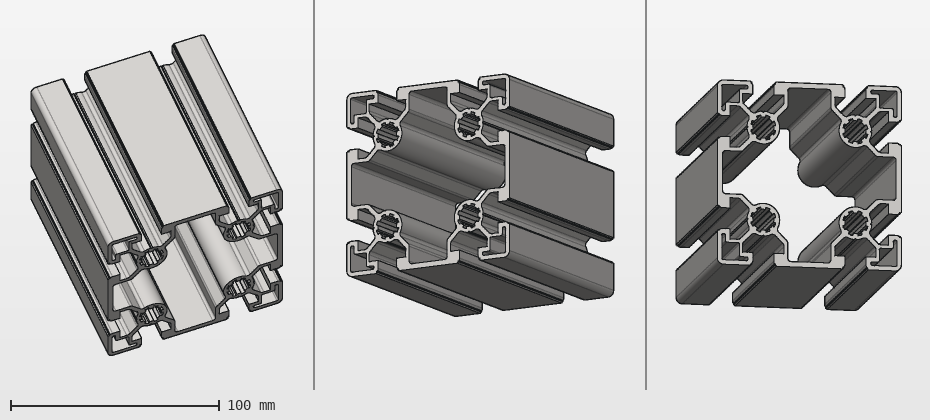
import cadquery as cq
import math

length = 100.0
side = 90.0
half_side = side / 2
bore_offset = side / 4
corner_radius = 3.0

mouth_half_width = 5.1
inner_half_width = 10.1
lip_depth = 6.3
slot_bend_fillet = 2.5

mouth_round_top = (1.2, 0.0)
mouth_notch_top = (0.5, 0.6)
mouth_notch_root = (0.9, 0.9)
mouth_notch_bottom = (0.4, 1.2)
mouth_round_bottom = (0.0, 2.4)
mouth_round_bulge = 0.1

boss_radius = 8.0
bore_root_radius = 6.2
bore_tip_radius = 5.1
rib_count = 8
rib_tip_angle = 23.0
rib_root_angle = 26.0
boss_groove_half_width = 0.6
boss_groove_depth = 0.5

web_half_thickness = 1.2
web_fillet = 1.9

skin = 2.6
hollow_half_width = 10.5
hollow_fillet = 1.5
hollow_bend_fillet = 2.0

cell_wall = 2.2
cell_leg_width = 1.8
cell_leg_end = 15.0
cell_body = 10.8
cell_fillet = 0.7
cell_tip_radius = 0.49 * cell_leg_width

fillet_centre_radius = boss_radius + web_fillet
fillet_angle = math.asin((web_half_thickness + web_fillet) / fillet_centre_radius)
web_shift = web_half_thickness * math.sqrt(2)


def polar(radius, angle):
    return radius * math.cos(angle), radius * math.sin(angle)


def offset(point, dx, dy):
    return point[0] + dx, point[1] + dy


def quarter_turns(point, turns):
    """Turn a point about the profile centre by a number of right angles."""
    for _ in range(turns):
        point = -point[1], point[0]
    return point


def boss_fillet(web_angle, turn):
    """Boss point, middle and web point of a fillet; turn is +1 or -1 from the web."""
    centre_angle = web_angle + turn * fillet_angle
    centre = polar(fillet_centre_radius, centre_angle)
    to_boss = centre_angle + turn * math.pi
    to_web = web_angle + turn * 3 * math.pi / 2
    directions = (to_boss, (to_boss + to_web) / 2, to_web)
    return [offset(polar(web_fillet, a), *centre) for a in directions]


def round_edge(solid, y, z, radius):
    """Fillet the lengthwise edge at the given place in the cross-section."""
    return solid.edges(cq.NearestToPointSelector((0, y, z))).fillet(radius)


def prism(outline):
    return outline.close().extrude(length)


def profile_plane():
    return cq.Workplane("YZ", origin=(-length / 2, 0, 0))


def bore_plane():
    return profile_plane().center(bore_offset, bore_offset)


def slot():
    """T-slot opening towards +Z above the bore of the +Y +Z corner."""
    top = half_side - bore_offset
    boss_point, fillet_middle, web_point = boss_fillet(math.pi / 4, 1)
    groove_edge = (
        boss_groove_half_width,
        math.sqrt(boss_radius**2 - boss_groove_half_width**2),
    )
    boss_start = math.atan2(groove_edge[1], groove_edge[0])
    boss_end = math.atan2(boss_point[1], boss_point[0])
    boss_middle = polar(boss_radius, (boss_start + boss_end) / 2)
    wall_foot = (inner_half_width, inner_half_width + web_shift)
    lip_inner = (inner_half_width, top - lip_depth)
    lip_tip = (mouth_half_width, top - lip_depth)
    round_top, notch_top, notch_root, notch_bottom, round_bottom = [
        (mouth_half_width + back, top - depth)
        for back, depth in (
            mouth_round_top,
            mouth_notch_top,
            mouth_notch_root,
            mouth_notch_bottom,
            mouth_round_bottom,
        )
    ]

    outline = bore_plane().moveTo(0, boss_radius - boss_groove_depth).lineTo(*groove_edge)
    outline = outline.threePointArc(boss_middle, boss_point).threePointArc(fillet_middle, web_point)
    for point in (wall_foot, lip_inner, lip_tip, round_bottom):
        outline = outline.lineTo(*point)
    outline = outline.tangentArcPoint(notch_bottom, relative=False)
    outline = outline.lineTo(*notch_root).lineTo(*notch_top)
    outline = outline.sagittaArc(round_top, -mouth_round_bulge)
    half = prism(outline.lineTo(0, top))
    half = round_edge(half, *offset(wall_foot, bore_offset, bore_offset), slot_bend_fillet)
    return half.union(half.mirror("XZ", (0, bore_offset, 0)))


def bore():
    """Round hole with evenly spaced ribs standing inwards."""
    pitch = 2 * math.pi / rib_count
    half_tip = math.radians(rib_tip_angle) / 2
    half_root = math.radians(rib_root_angle) / 2
    outline = bore_plane().moveTo(*polar(bore_tip_radius, -half_tip))
    for rib in range(rib_count):
        middle = rib * pitch
        if rib > 0:
            outline = outline.lineTo(*polar(bore_tip_radius, middle - half_tip))
        outline = outline.threePointArc(
            polar(bore_tip_radius, middle), polar(bore_tip_radius, middle + half_tip)
        )
        outline = outline.lineTo(*polar(bore_root_radius, middle + half_root))
        outline = outline.threePointArc(
            polar(bore_root_radius, middle + pitch / 2),
            polar(bore_root_radius, middle + pitch - half_root),
        )
    return prism(outline)


def corner_cell():
    """Hollow in the +Y +Z corner: a square with a narrow leg along each outer wall."""
    body_size = cell_body - cell_wall
    leg_size = cell_leg_end - cell_wall
    body_middle = half_side - cell_wall - body_size / 2
    leg_middle = half_side - cell_wall - leg_size / 2
    leg_line = half_side - cell_wall - cell_leg_width / 2
    body = profile_plane().center(body_middle, body_middle).rect(body_size, body_size).extrude(length)
    leg_y = profile_plane().center(leg_middle, leg_line).rect(leg_size, cell_leg_width).extrude(length)
    leg_z = profile_plane().center(leg_line, leg_middle).rect(cell_leg_width, leg_size).extrude(length)
    leg_y = leg_y.edges("|X and <Y").fillet(cell_tip_radius)
    leg_z = leg_z.edges("|X and <Z").fillet(cell_tip_radius)
    cell = body.union(leg_y).union(leg_z)
    body_near = half_side - cell_body
    leg_near = half_side - cell_wall - cell_leg_width
    far = half_side - cell_wall
    corners = ((body_near, body_near), (body_near, leg_near), (leg_near, body_near), (far, far))
    for y, z in corners:
        cell = round_edge(cell, y, z, cell_fillet)
    return cell


def central_hollow():
    """Cross-shaped hollow whose inner corners follow the four bosses."""
    first_fillet = boss_fillet(-math.pi / 4, -1)
    second_fillet = boss_fillet(3 * math.pi / 4, 1)
    boss_inner = polar(boss_radius, -3 * math.pi / 4)
    arm_end = half_side - skin
    arm_foot = 2 * bore_offset - web_shift - hollow_half_width

    def near_bore(point, turns):
        return quarter_turns(offset(point, bore_offset, bore_offset), turns)

    outline = profile_plane().moveTo(arm_end, hollow_half_width)
    for turns in range(4):
        if turns > 0:
            outline = outline.lineTo(*quarter_turns((arm_end, hollow_half_width), turns))
        outline = outline.lineTo(*quarter_turns((arm_foot, hollow_half_width), turns))
        first_boss, first_middle, first_web = [near_bore(p, turns) for p in first_fillet]
        second_boss, second_middle, second_web = [near_bore(p, turns) for p in second_fillet]
        outline = outline.lineTo(*first_web).threePointArc(first_middle, first_boss)
        outline = outline.threePointArc(near_bore(boss_inner, turns), second_boss)
        outline = outline.threePointArc(second_middle, second_web)
        outline = outline.lineTo(*quarter_turns((hollow_half_width, arm_foot), turns))
        outline = outline.lineTo(*quarter_turns((hollow_half_width, arm_end), turns))
    hollow = prism(outline)
    arm_ends = hollow.faces("<Y or >Y or <Z or >Z").edges("|X")
    hollow = arm_ends.fillet(hollow_fillet)
    for turns in range(4):
        for bend in ((arm_foot, hollow_half_width), (hollow_half_width, arm_foot)):
            hollow = round_edge(hollow, *quarter_turns(bend, turns), hollow_bend_fillet)
    return hollow


block = profile_plane().rect(side, side).extrude(length).edges("|X").fillet(corner_radius)

upper_slot = slot()
side_slot = upper_slot.rotate((0, bore_offset, bore_offset), (1, bore_offset, bore_offset), -90)
corner_cutters = (upper_slot, side_slot, bore(), corner_cell())

result = block.cut(central_hollow())
for quarter in range(4):
    for cutter in corner_cutters:
        result = result.cut(cutter.rotate((0, 0, 0), (1, 0, 0), 90 * quarter))